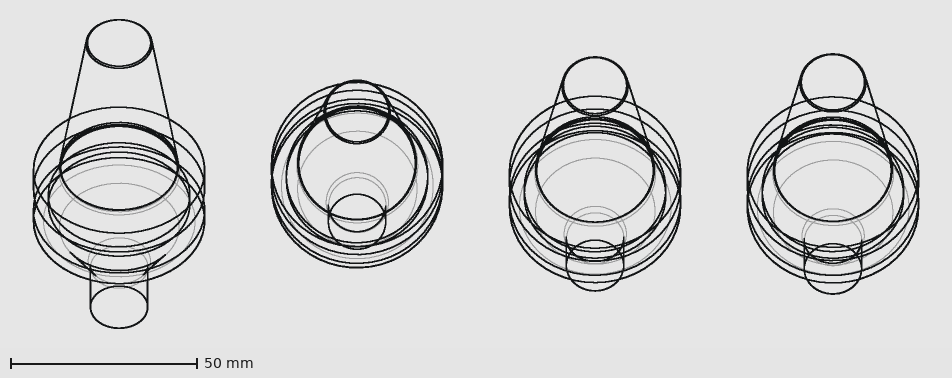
import cadquery as cq
import math


total_height = 104.7
shank_length = 48.4
gauge_diameter = 31.75
taper_ratio = 7 / 24
taper_overrun = 0.4
tip_chamfer = 0.4

relief_diameter = 31.3
relief_chamfer_height = 0.5
relief_fillet = 0.6

flange_diameter = 45.98
flange_thickness = 20.0
flange_gap = 2.0
groove_diameter = 38.0
groove_offset = 13.6
groove_floor_width = 3.7
groove_flank_angle = math.radians(30)

nose_diameter = 15.4
nose_length = 16.0
cone_angle = math.radians(30)
neck_fillet = 5.0

gauge_z = total_height - shank_length
taper_base_z = gauge_z - taper_overrun
flange_top_z = gauge_z - flange_gap
flange_bottom_z = flange_top_z - flange_thickness
groove_z = gauge_z - groove_offset
tip_chamfer_z = total_height - tip_chamfer
cone_foot_z = nose_length + neck_fillet * math.tan(cone_angle / 2)

nose_radius = nose_diameter / 2
flange_radius = flange_diameter / 2
groove_radius = groove_diameter / 2
relief_radius = relief_diameter / 2


def taper_radius(z):
    """Radius of the shank taper at height z."""
    return (gauge_diameter - (z - gauge_z) * taper_ratio) / 2


def cone_radius(z):
    """Radius of the neck cone at height z."""
    return nose_radius + (z - cone_foot_z) * math.tan(cone_angle)


def arc_point(center, angle):
    """Point (radius, z) on a neck fillet at an angle from the outward radial direction."""
    return (
        center[0] + neck_fillet * math.cos(angle),
        center[1] + neck_fillet * math.sin(angle),
    )


def draw_nose(profile):
    """Nose and neck cone, with a fillet at each end of the cone."""
    lower_center = (nose_radius + neck_fillet, nose_length)
    cone_normal = math.pi - cone_angle

    upper_center_z = flange_bottom_z - neck_fillet
    upper_center = (cone_radius(upper_center_z) + neck_fillet / math.cos(cone_angle), upper_center_z)
    upper_middle = (cone_normal + math.pi / 2) / 2

    return (
        profile.lineTo(nose_radius, 0)
        .lineTo(nose_radius, nose_length)
        .threePointArc(
            arc_point(lower_center, math.pi - cone_angle / 2),
            arc_point(lower_center, cone_normal),
        )
        .lineTo(*arc_point(upper_center, cone_normal))
        .threePointArc(
            arc_point(upper_center, upper_middle),
            arc_point(upper_center, math.pi / 2),
        )
    )


def draw_flange(profile):
    """Flange rim, interrupted by the gripper groove."""
    floor_half = groove_floor_width / 2
    mouth_half = floor_half + (flange_radius - groove_radius) * math.tan(groove_flank_angle)
    return (
        profile.lineTo(flange_radius, flange_bottom_z)
        .lineTo(flange_radius, groove_z - mouth_half)
        .lineTo(groove_radius, groove_z - floor_half)
        .lineTo(groove_radius, groove_z + floor_half)
        .lineTo(flange_radius, groove_z + mouth_half)
        .lineTo(flange_radius, flange_top_z)
    )


def draw_shank(profile):
    """Filleted relief, taper and chamfered small end."""
    return (
        profile.lineTo(relief_radius + relief_fillet, flange_top_z)
        .radiusArc((relief_radius, flange_top_z + relief_fillet), relief_fillet)
        .lineTo(relief_radius, taper_base_z - relief_chamfer_height)
        .lineTo(taper_radius(taper_base_z), taper_base_z)
        .lineTo(taper_radius(tip_chamfer_z), tip_chamfer_z)
        .lineTo(taper_radius(tip_chamfer_z) - tip_chamfer, total_height)
    )


half_profile = cq.Workplane("XZ").moveTo(0, 0)
half_profile = draw_nose(half_profile)
half_profile = draw_flange(half_profile)
half_profile = draw_shank(half_profile)

result = half_profile.lineTo(0, total_height).close().revolve(360, (0, 0, 0), (0, 1, 0))